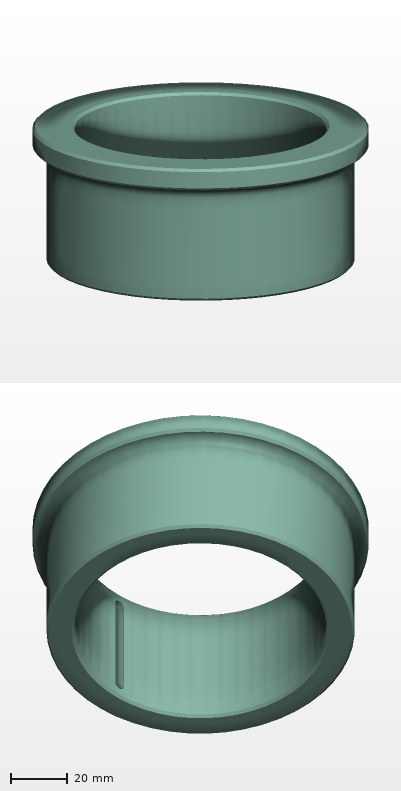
import cadquery as cq

height = 50.0
bore_diameter = 90.0
barrel_diameter = 110.0
flange_diameter = 120.0
flange_thickness = 7.9
fillet_radius = 3.6
chamfer = 1.0

groove_diameter = 4.0
groove_end_margin = 3.8

bore_radius = bore_diameter / 2
barrel_radius = barrel_diameter / 2
flange_radius = flange_diameter / 2
flange_bottom = height - flange_thickness


def bushing_body():
    """Revolve the wall section, with its chamfers and the flange fillet."""
    fillet_center = (barrel_radius + fillet_radius, flange_bottom - fillet_radius)
    arc_offset = fillet_radius * 0.5 ** 0.5
    fillet_middle = (fillet_center[0] - arc_offset, fillet_center[1] + arc_offset)
    section = (
        cq.Workplane("XZ")
        .moveTo(bore_radius + chamfer, 0)
        .lineTo(barrel_radius - chamfer, 0)
        .lineTo(barrel_radius, chamfer)
        .lineTo(barrel_radius, fillet_center[1])
        .threePointArc(fillet_middle, (fillet_center[0], flange_bottom))
        .lineTo(flange_radius - chamfer, flange_bottom)
        .lineTo(flange_radius, flange_bottom + chamfer)
        .lineTo(flange_radius, height - chamfer)
        .lineTo(flange_radius - chamfer, height)
        .lineTo(bore_radius + chamfer, height)
        .lineTo(bore_radius, height - chamfer)
        .lineTo(bore_radius, chamfer)
        .close()
    )
    return section.revolve(360, (0, 0, 0), (0, 1, 0))


def grease_groove():
    """Round-bottomed groove cutter with ball ends, centred on the bore wall."""
    groove_radius = groove_diameter / 2
    low_center = groove_end_margin + groove_radius
    high_center = height - groove_end_margin - groove_radius
    cutter = (
        cq.Workplane("XY", origin=(bore_radius, 0, low_center))
        .circle(groove_radius)
        .extrude(high_center - low_center)
    )
    for end_height in (low_center, high_center):
        ball = cq.Workplane("XY").sphere(groove_radius)
        cutter = cutter.union(ball.translate((bore_radius, 0, end_height)))
    return cutter


result = bushing_body().cut(grease_groove())